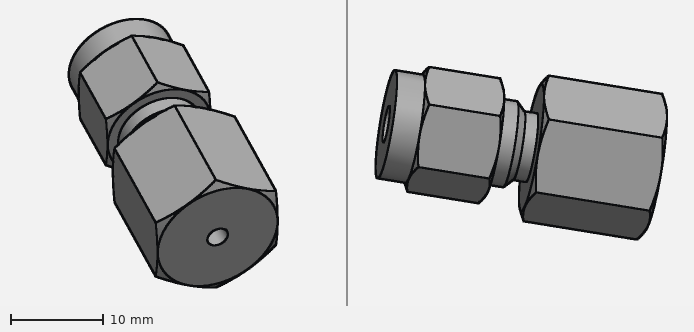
import cadquery as cq
import math

total_length = 29.7
collar_end = 3.1
nut_end = 11.88
shoulder_end = 13.7
coupling_start = 16.07

nut_flats = 12.0
coupling_flats = 14.0
shoulder_diameter = 9.5
neck_diameter = 7.6

socket_diameter = 3.98
socket_depth = nut_end
bore_diameter = 2.38

corner_angle = 26.0
face_margin = 0.03
cone_overrun = 1.1

collar_diameter = nut_flats - 2 * face_margin


def cylinder(start, end, diameter):
    """Solid round section between two stations on the X axis."""
    return cq.Workplane("YZ", origin=(start, 0, 0)).circle(diameter / 2).extrude(end - start)


def revolved(profile):
    """Solid turned about the X axis from (station, radius) points."""
    return cq.Workplane("XY").polyline(profile).close().revolve(360, (0, 0, 0), (1, 0, 0))


def chamfered_hex(start, end, flats):
    """Hexagon with corners on +Z and -Z, its corners turned conically at both ends."""
    corner_radius = flats / 2 / math.cos(math.radians(30))
    hexagon = (
        cq.Workplane("YZ", origin=(start, 0, 0))
        .polygon(6, 2 * corner_radius)
        .extrude(end - start)
        .rotate((0, 0, 0), (1, 0, 0), 90)
    )
    face_radius = flats / 2 - face_margin
    outer_radius = cone_overrun * corner_radius
    setback = (outer_radius - face_radius) * math.tan(math.radians(corner_angle))
    envelope = revolved([
        (start, 0),
        (start, face_radius),
        (start + setback, outer_radius),
        (end - setback, outer_radius),
        (end, face_radius),
        (end, 0),
    ])
    return hexagon.intersect(envelope)


def stepped_body():
    """Shoulder behind the nut, tapering at 45 degrees to the neck of the coupling."""
    shoulder_radius = shoulder_diameter / 2
    neck_radius = neck_diameter / 2
    neck_start = shoulder_end + shoulder_radius - neck_radius
    return revolved([
        (nut_end, 0),
        (nut_end, shoulder_radius),
        (shoulder_end, shoulder_radius),
        (neck_start, neck_radius),
        (coupling_start, neck_radius),
        (coupling_start, 0),
    ])


collar = cylinder(0, collar_end, collar_diameter)
nut = chamfered_hex(collar_end, nut_end, nut_flats)
coupling = chamfered_hex(coupling_start, total_length, coupling_flats)
tube_socket = cylinder(0, socket_depth, socket_diameter)
bore = cylinder(0, total_length, bore_diameter)

result = (
    collar.union(nut)
    .union(stepped_body())
    .union(coupling)
    .cut(tube_socket)
    .cut(bore)
)